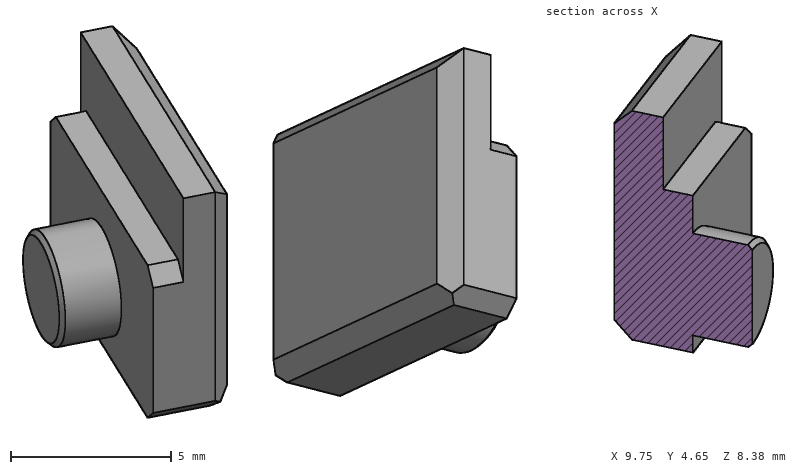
import cadquery as cq

width = 9.75
height = 8.38
plate_thickness = 1.65
back_bevel = 0.6

pad_height = 5.75
pad_thickness = 1.0
corner_cut = 0.52

pin_diameter = 3.75
pin_length = 2.0
pin_height = 2.5
pin_chamfer = 0.15

pad_front = -pad_thickness


def make_plate():
    """Rectangular plate with cut lower corners and a bevel around its back face."""
    plate = (
        cq.Workplane("XY")
        .box(width, plate_thickness, height, centered=(True, False, False))
        .faces(">Y")
        .chamfer(back_bevel)
    )
    return plate.intersect(make_lower_corner_envelope())


def make_lower_corner_envelope():
    """Block as large as the plate whose two lower corners are cut off."""
    return (
        cq.Workplane("XY")
        .box(width, plate_thickness, height, centered=(True, False, False))
        .edges("|Y and <Z")
        .chamfer(corner_cut)
    )


def make_pad():
    """Pad with all four corners cut off."""
    return (
        cq.Workplane("XY")
        .box(width, pad_thickness, pad_height, centered=(True, False, False))
        .edges("|Y")
        .chamfer(corner_cut)
        .translate((0, pad_front, 0))
    )


def make_pin():
    """Pin pointing towards -Y with a chamfered tip."""
    return (
        cq.Workplane("XZ", origin=(0, pad_front, pin_height))
        .circle(pin_diameter / 2)
        .extrude(pin_length)
        .faces("<Y")
        .chamfer(pin_chamfer)
    )


result = make_plate().union(make_pad()).union(make_pin())